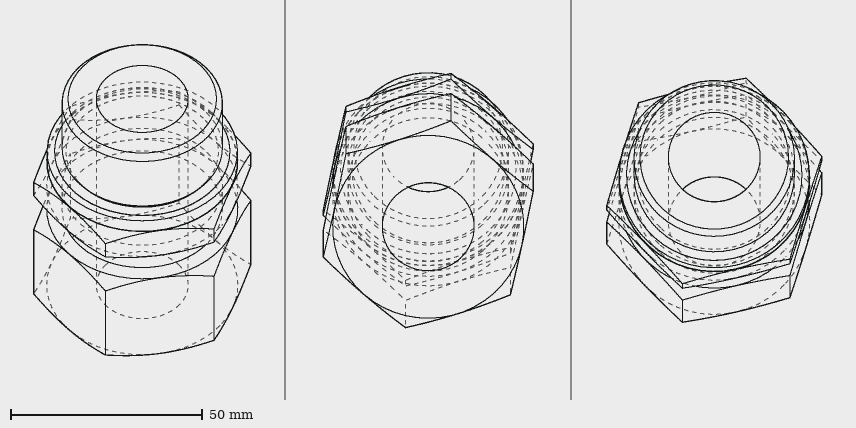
import cadquery as cq
import math

across_flats = 50.0
across_corners = across_flats * 2 / math.sqrt(3)
total_height = 71.0
bore_diameter = 24.0

nut_top = 29.0
hex_bottom = 37.5
hex_top = 47.0
collar_top = 51.0
thread_bottom = 52.5

thread_diameter = 41.9
thread_end_diameter = 38.8
collar_diameter = 49.7
hex_face_diameter = 49.9
seal_diameter = 45.8
neck_diameter = 39.8

thread_chamfer = (thread_diameter - thread_end_diameter) / 2
seal_recess_depth = 0.1
corner_chamfer_angle = 30.0
hexagon_turn = 30.0


def chamfered_hexagon(bottom, top):
    """Hexagon with corners on +Y and -Y, both ends turned to a shallow cone."""
    height = top - bottom
    prism = (
        cq.Workplane("XY")
        .workplane(offset=bottom)
        .polygon(6, across_corners)
        .extrude(height)
        .rotate((0, 0, 0), (0, 0, 1), hexagon_turn)
    )
    face_radius = hex_face_diameter / 2
    corner_radius = across_corners / 2
    drop = (corner_radius - face_radius) * math.tan(math.radians(corner_chamfer_angle))
    envelope = (
        cq.Workplane("XZ")
        .moveTo(0, bottom)
        .lineTo(face_radius, bottom)
        .lineTo(corner_radius, bottom + drop)
        .lineTo(corner_radius, top - drop)
        .lineTo(face_radius, top)
        .lineTo(0, top)
        .close()
        .revolve(360, (0, 0, 0), (0, 1, 0))
    )
    return prism.intersect(envelope)


def turned_body():
    """Stepped shank, collar with shallow seal recess, tapered neck and threaded end."""
    recess_floor = collar_top - seal_recess_depth
    return (
        cq.Workplane("XZ")
        .moveTo(0, 0)
        .lineTo(thread_diameter / 2, 0)
        .lineTo(thread_diameter / 2, hex_top)
        .lineTo(collar_diameter / 2, hex_top)
        .lineTo(collar_diameter / 2, collar_top)
        .lineTo(seal_diameter / 2, collar_top)
        .lineTo(seal_diameter / 2, recess_floor)
        .lineTo(neck_diameter / 2, recess_floor)
        .lineTo(neck_diameter / 2, collar_top)
        .lineTo(thread_diameter / 2, thread_bottom)
        .lineTo(thread_diameter / 2, total_height - thread_chamfer)
        .lineTo(thread_end_diameter / 2, total_height)
        .lineTo(0, total_height)
        .close()
        .revolve(360, (0, 0, 0), (0, 1, 0))
    )


bore = cq.Workplane("XY").circle(bore_diameter / 2).extrude(total_height)

result = (
    turned_body()
    .union(chamfered_hexagon(0, nut_top))
    .union(chamfered_hexagon(hex_bottom, hex_top))
    .cut(bore)
)